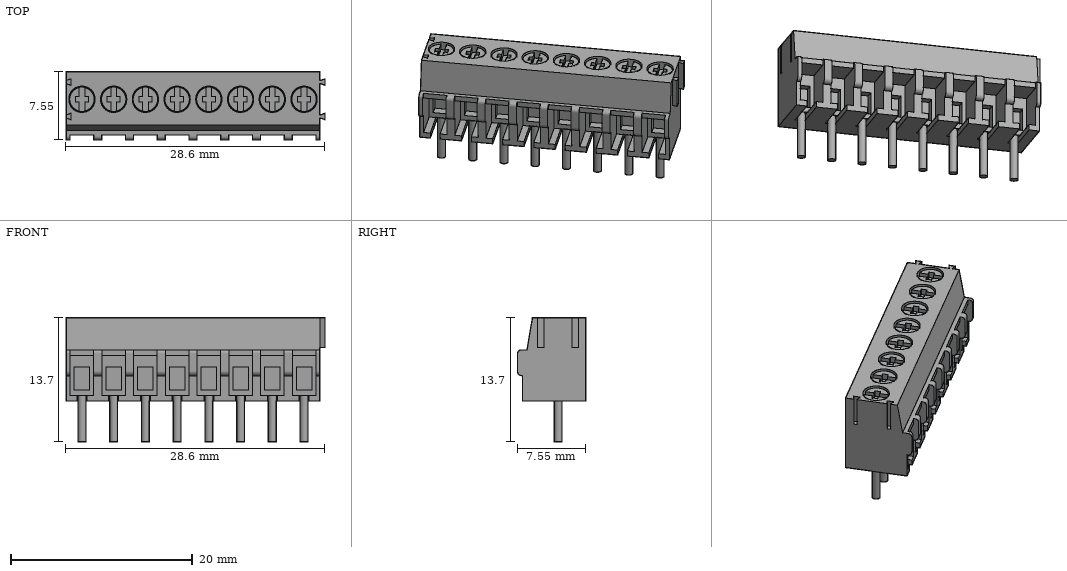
import cadquery as cq

pole_count = 8
pitch = 3.5

body_length = pole_count * pitch
body_height = 9.2
back_y = 3.05
top_front_y = back_y - 5.9
slope_foot_y = back_y - 6.5
lower_front_y = back_y - 7.0
lip_front_y = back_y - 7.55
lip_top_z = 5.65
lip_bottom_z = 2.8
lip_top_radius = 0.4
lip_bottom_radius = 0.5

entry_width = 2.6
entry_floor_z = 0.65
entry_roof_z = 5.05
entry_back_y = -0.5
clamp_width = 1.7
clamp_bottom_z = 1.25
clamp_top_z = 3.75
clamp_depth = 1.0
floor_slot_width = 1.1
floor_slot_back_y = floor_slot_width / 2

pin_diameter = 0.9
pin_length = 4.5

screw_hole_diameter = 2.9
screw_diameter = 2.7
screw_recess = 0.2
screw_gap_depth = 1.0
drive_width = 0.63
drive_short_length = 1.45
drive_depth = 0.7

dovetail_spacing = 3.8
dovetail_middle_y = 0.0
dovetail_height = 3.3
tail_reach = 0.57
dovetail_mouth = 0.35
dovetail_base = 0.72

left_x = -body_length / 2
right_x = body_length / 2
pole_xs = [left_x + pitch * (index + 0.5) for index in range(pole_count)]
dovetail_ys = [dovetail_middle_y - dovetail_spacing / 2, dovetail_middle_y + dovetail_spacing / 2]


def box(x_min, x_max, y_min, y_max, z_min, z_max):
    """Axis-aligned block between the given limits."""
    size = (x_max - x_min, y_max - y_min, z_max - z_min)
    return cq.Workplane("XY").box(*size, centered=False).translate((x_min, y_min, z_min))


def lip_edge(z):
    """Selector for the front edge of the lip at the given height."""
    return cq.selectors.NearestToPointSelector((0, lip_front_y, z))


def housing():
    """Constant cross-section with a sloped upper front and a rounded lip."""
    outline = [
        (back_y, 0),
        (back_y, body_height),
        (top_front_y, body_height),
        (slope_foot_y, lip_top_z),
        (lip_front_y, lip_top_z),
        (lip_front_y, lip_bottom_z),
        (lower_front_y, lip_bottom_z),
        (lower_front_y, 0),
    ]
    block = cq.Workplane("YZ", origin=(left_x, 0, 0)).polyline(outline).close().extrude(body_length)
    block = block.edges(lip_edge(lip_top_z)).fillet(lip_top_radius)
    return block.edges(lip_edge(lip_bottom_z)).fillet(lip_bottom_radius)


def wire_entry(x):
    """Open front chamber with a notched lip, a clamp opening and a slotted floor."""
    half = entry_width / 2
    chamber = box(x - half, x + half, lip_front_y, entry_back_y, entry_floor_z, entry_roof_z)
    lip_notch = box(x - half, x + half, lip_front_y, lower_front_y, entry_floor_z, lip_top_z)
    clamp = box(
        x - clamp_width / 2,
        x + clamp_width / 2,
        entry_back_y,
        entry_back_y + clamp_depth,
        clamp_bottom_z,
        clamp_top_z,
    )
    slot_half = floor_slot_width / 2
    floor_slot = box(x - slot_half, x + slot_half, lower_front_y, floor_slot_back_y, 0, entry_floor_z)
    return chamber.union(lip_notch).union(clamp).union(floor_slot)


def screw_cavity(x):
    """Screw recess, the thin gap around the screw head and the cross-shaped drive."""
    hole_depth = screw_recess + screw_gap_depth
    hole = cq.Workplane("XY", origin=(x, 0, body_height - hole_depth)).circle(screw_hole_diameter / 2)
    head = cq.Workplane("XY", origin=(x, 0, body_height - hole_depth)).circle(screw_diameter / 2)
    head = head.extrude(screw_gap_depth)
    drive = cq.Workplane("XY", origin=(x, 0, body_height - screw_recess - drive_depth))
    long_slot = drive.rect(drive_width, screw_diameter).extrude(drive_depth)
    short_slot = drive.rect(drive_short_length, drive_width).extrude(drive_depth)
    return hole.extrude(hole_depth).cut(head.cut(long_slot).cut(short_slot))


def dovetail(x, y):
    """Dovetail prism widening toward +X from its mouth at the given side face."""
    outline = [
        (x, y - dovetail_mouth / 2),
        (x + tail_reach, y - dovetail_base / 2),
        (x + tail_reach, y + dovetail_base / 2),
        (x, y + dovetail_mouth / 2),
    ]
    base_z = body_height - dovetail_height
    return cq.Workplane("XY", origin=(0, 0, base_z)).polyline(outline).close().extrude(dovetail_height)


def solder_pin(x):
    """Round pin that passes through the floor slot and meets the body above it."""
    pin = cq.Workplane("XY", origin=(x, 0, -pin_length)).circle(pin_diameter / 2)
    return pin.extrude(pin_length + entry_floor_z)


result = housing()
for pole_x in pole_xs:
    result = result.cut(wire_entry(pole_x)).cut(screw_cavity(pole_x)).union(solder_pin(pole_x))
for dovetail_y in dovetail_ys:
    result = result.cut(dovetail(left_x, dovetail_y)).union(dovetail(right_x, dovetail_y))